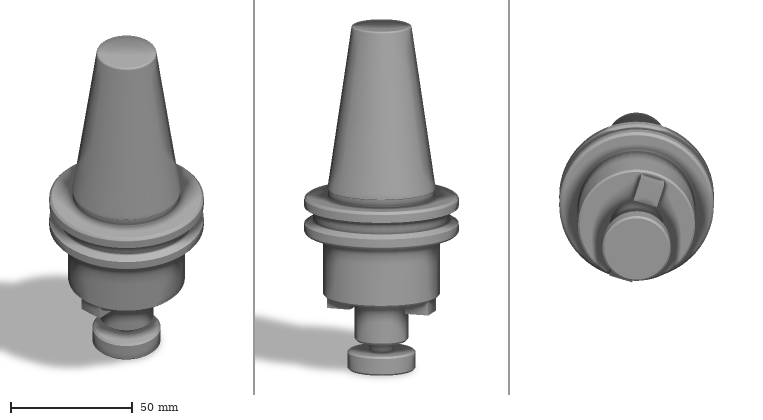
import cadquery as cq
import math


gauge_diameter = 44.45
taper_length = 68.4
taper_ratio = 7 / 24
shank_end_radius = 0.9
neck_diameter = 44.0
neck_root_radius = 0.5

flange_diameter = 63.5
flange_top = -3.2
flange_bottom = -19.1
flange_chamfer = 1.0
flange_blend_radius = 0.5
groove_diameter = 56.25
groove_middle = -11.1
groove_mouth_width = 7.0
groove_floor_width = 3.9
groove_flank_angle = 30.0

hub_diameter = 48.0
hub_bottom = -45.0
hub_chamfer = 0.8
hub_root_radius = 1.0
pilot_diameter = 22.0
pilot_bottom = -64.0
pilot_chamfer = 1.0

screw_diameter = 10.0
head_diameter = 28.0
head_top = -68.0
head_bottom = -76.0
head_chamfer = 0.8

key_width = 10.0
key_depth = 10.0
key_height = 6.0
key_outer_distance = 22.0


def make_disc(diameter, top, bottom):
    """Cylinder on the Z axis between two heights."""
    return cq.Workplane("XY").workplane(offset=bottom).circle(diameter / 2).extrude(top - bottom)


def make_shank():
    """Taper up to its rounded small end, with a 45 degree step to the neck below it."""
    gauge_radius = gauge_diameter / 2
    end_radius = gauge_radius - taper_length * taper_ratio / 2
    neck_radius = neck_diameter / 2
    return (
        cq.Workplane("XZ")
        .polyline([
            (0, flange_top),
            (neck_radius, flange_top),
            (neck_radius, neck_radius - gauge_radius),
            (gauge_radius, 0),
            (end_radius, taper_length),
            (0, taper_length),
        ])
        .close()
        .revolve(360, (0, 0), (0, 1))
        .faces(">Z")
        .fillet(shank_end_radius)
    )


def make_root_fillet(diameter, face_height, radius, direction):
    """Concave ring filling the corner between a flange face and a cylinder.

    The cylinder leaves the face upward (direction = 1) or downward (direction = -1).
    """
    wall = diameter / 2
    end_height = face_height + direction * radius
    reach = radius * (1 - math.sqrt(0.5))
    return (
        cq.Workplane("XZ")
        .moveTo(0, face_height)
        .lineTo(wall + radius, face_height)
        .threePointArc((wall + reach, face_height + direction * reach), (wall, end_height))
        .lineTo(0, end_height)
        .close()
        .revolve(360, (0, 0), (0, 1))
    )


def make_flange():
    """Flange with softened chamfers and a gripper groove: sloped flanks and a square slot."""
    flange = make_disc(flange_diameter, flange_top, flange_bottom)
    flange = flange.faces("<Z or >Z").chamfer(flange_chamfer)
    flange = flange.edges("%CIRCLE").fillet(flange_blend_radius)
    rim = flange_diameter / 2
    floor = groove_diameter / 2
    half_mouth = groove_mouth_width / 2
    half_floor = groove_floor_width / 2
    flank_height = half_mouth - half_floor
    flank_end = rim - flank_height / math.tan(math.radians(groove_flank_angle))
    groove = (
        cq.Workplane("XZ", origin=(0, 0, groove_middle))
        .polyline([
            (rim, half_mouth),
            (flank_end, half_floor),
            (floor, half_floor),
            (floor, -half_floor),
            (flank_end, -half_floor),
            (rim, -half_mouth),
        ])
        .close()
        .revolve(360, (0, 0), (0, 1))
    )
    return flange.cut(groove)


def make_hub_and_pilot():
    """Hub below the flange and the pilot that centres the cutter, both chamfered at the bottom."""
    hub = make_disc(hub_diameter, flange_bottom, hub_bottom).faces("<Z").chamfer(hub_chamfer)
    pilot = make_disc(pilot_diameter, hub_bottom, pilot_bottom).faces("<Z").chamfer(pilot_chamfer)
    return hub.union(pilot)


def make_screw():
    """Exposed screw shank and its disc-shaped head."""
    head = make_disc(head_diameter, head_top, head_bottom).faces("<Z or >Z").chamfer(head_chamfer)
    return make_disc(screw_diameter, pilot_bottom, head_top).union(head)


def make_key(side):
    """Drive key under the hub, on the +Y (side = 1) or -Y (side = -1) side."""
    centre_y = side * (key_outer_distance - key_depth / 2)
    return (
        cq.Workplane("XY")
        .workplane(offset=hub_bottom - key_height)
        .center(0, centre_y)
        .rect(key_width, key_depth)
        .extrude(key_height)
    )


result = make_shank().union(make_flange()).union(make_hub_and_pilot()).union(make_screw())
result = result.union(make_root_fillet(neck_diameter, flange_top, neck_root_radius, 1))
result = result.union(make_root_fillet(hub_diameter, flange_bottom, hub_root_radius, -1))
for side in (-1, 1):
    result = result.union(make_key(side))